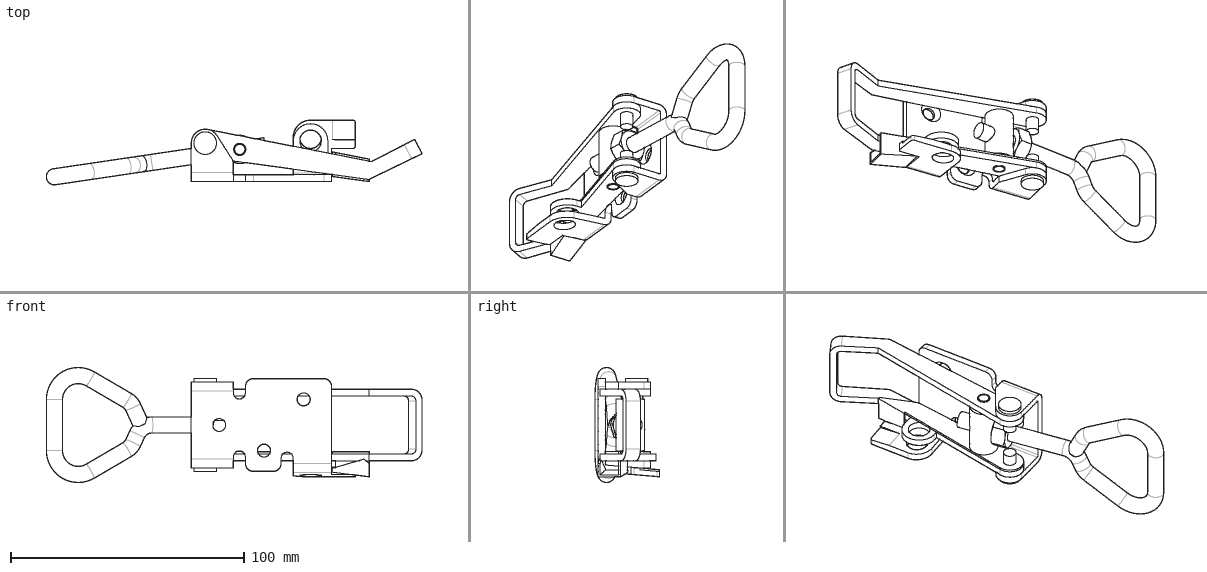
import cadquery as cq
import math


PIVOT_RADIUS = 6.0
RIVET_RADIUS = 2.7
TRUNNION_X = 14.8
TRUNNION_Y = -2.7
JOURNAL_RADIUS = 2.6
ROD_RADIUS = 3.5
ROD_TILT = 8.4
TALL = 200.0

BASE_SHEET = 3.1
BASE_BEND_RADIUS = 3.9
BASE_BACK = -16.55
BASE_INNER_HALF = 15.35
BASE_OUTER_HALF = BASE_INNER_HALF + BASE_SHEET
BASE_LEFT = -PIVOT_RADIUS
BASE_RIGHT = 54.2
FLANGE_RIGHT = 12.1
FLANGE_CORNER_Y = -7.8

NOTCH_RADIUS = 2.55
FIRST_NOTCH_Z = 13.75
SECOND_NOTCH_Z = 14.2
WING_LEFT = FLANGE_RIGHT + 2 * NOTCH_RADIUS
WING_HALF = 19.9
WING_CORNER_RADIUS = 3.4
TAB_RIGHT = 32.55
EAR_FLANGE_LEFT = TAB_RIGHT + 2 * NOTCH_RADIUS
EAR_BEND_Z = -16.4
MOUNT_HOLE_RADIUS = 2.75
MOUNT_HOLE_LAND = 1.2
MOUNT_HOLES = [(6.0, 0.0), (42.2, 11.0), (25.2, -11.0)]

EAR_HOLE_RADIUS = 4.6
BASE_EAR_RADIUS = 7.5
BASE_EAR_X = EAR_FLANGE_LEFT + BASE_EAR_RADIUS
BASE_EAR_Y = 2.37
BASE_EAR_LEAN = 4.9
TONGUE_RIGHT = 64.4
TONGUE_BOTTOM = -2.4
TONGUE_CORNER_RADIUS = 1.2
RAMP_LEFT = 54.6
RAMP_BOTTOM = 1.5
RAMP_DROP = 0.8
LEVER_EAR_RADIUS = 7.4
LEVER_EAR_Y = 0.9

LEVER_SHEET = 3.0
LEVER_OUTER_HALF = BASE_INNER_HALF
LEVER_INNER_HALF = LEVER_OUTER_HALF - LEVER_SHEET
LEVER_TOP_BEND = (71.2, -7.9)
LEVER_BOTTOM_BEND = (70.2, -15.6)
TAIL_ANGLE = 27.6
TAIL_END_BOTTOM = (93.0, -4.55)
TAIL_WIDTH = 7.0
TAIL_BEND_RADIUS = 5.0

CATCH_SHEET = 0.9
CATCH_RIGHT = 70.35
CATCH_TOP_LEFT = 55.8
CATCH_LEAF_LEFT = 54.5
CATCH_WEB_LEFT = 54.4
CATCH_WEB_Z_LEFT = -20.2
CATCH_WEB_Z_RIGHT = -22.25
CATCH_FLAP_Z_LEFT = -18.6
CATCH_FLAP_PEAK = (68.0, -14.6)
CATCH_FLAP_Z_RIGHT = -16.5

RIVET_HEAD_RADIUS = 4.85
RIVET_HEAD_HEIGHT = 1.5
RIVET_INNER_END = 6.5
TRUNNION_RADIUS = 6.1
TRUNNION_HALF = 11.1
JOURNAL_CHAMFER = 0.4
NUT_WIDTH = 13.0
NUT_HEIGHT = 6.5
NUT_CHAMFER_ANGLE = 30.0
NUT_TURN = 15.0

ROD_END = 11.0
NECK_U = 38.15
NECK_BEND_RADIUS = 7.0
NECK_ANGLE = 65.0
NECK_RUN = 4.04
SHOULDER_BEND_RADIUS = 6.5
SIDE_ANGLE = 30.0
LOOP_HALF_HEIGHT = 24.685
LOOP_CORNER_RADIUS = 10.3


def polar(radius, degrees):
    angle = math.radians(degrees)
    return (radius * math.cos(angle), radius * math.sin(angle))


def cylinder_z(x, y, radius, z_low, z_high):
    return cq.Workplane("XY", origin=(x, y, z_low)).circle(radius).extrude(z_high - z_low)


def prism_z(points, z_low, z_high):
    return cq.Workplane("XY", origin=(0, 0, z_low)).polyline(points).close().extrude(z_high - z_low)


def prism_y(points):
    return cq.Workplane("XZ").polyline(points).close().extrude(TALL / 2, both=True)


def tangent_angle(point, side):
    """Polar angle of the pivot-circle point whose tangent runs to `point`; side +1 is above, -1 below."""
    distance = math.hypot(*point)
    bearing = math.degrees(math.atan2(point[1], point[0]))
    return bearing + side * math.degrees(math.acos(PIVOT_RADIUS / distance))


TOP_TANGENT = polar(PIVOT_RADIUS, tangent_angle(LEVER_TOP_BEND, 1))
BOTTOM_TANGENT = polar(PIVOT_RADIUS, tangent_angle(LEVER_BOTTOM_BEND, -1))


def line_y(start, end, x):
    return start[1] + (end[1] - start[1]) * (x - start[0]) / (end[0] - start[0])


def lever_top_y(x):
    return line_y(TOP_TANGENT, LEVER_TOP_BEND, x)


def lever_bottom_y(x):
    return line_y(BOTTOM_TANGENT, LEVER_BOTTOM_BEND, x)


def base_plate():
    plate = (
        cq.Workplane("XZ", origin=(0, BASE_BACK, 0))
        .polyline([
            (WING_LEFT, WING_HALF),
            (BASE_RIGHT, WING_HALF),
            (BASE_RIGHT, EAR_BEND_Z),
            (TAB_RIGHT, EAR_BEND_Z),
            (TAB_RIGHT, -WING_HALF),
            (WING_LEFT, -WING_HALF),
        ])
        .close()
        .extrude(-BASE_SHEET)
    )
    outer_corners = [
        (WING_LEFT, WING_HALF),
        (BASE_RIGHT, WING_HALF),
        (TAB_RIGHT, -WING_HALF),
        (WING_LEFT, -WING_HALF),
    ]
    middle_y = BASE_BACK + BASE_SHEET / 2
    for x, z in outer_corners:
        corner = plate.edges(cq.selectors.NearestToPointSelector((x, middle_y, z)))
        plate = corner.fillet(WING_CORNER_RADIUS)
    bridge_half = BASE_OUTER_HALF - BASE_BEND_RADIUS
    bridge = cq.Workplane("XY").box(
        WING_LEFT - BASE_LEFT, BASE_SHEET, 2 * bridge_half, centered=(False, False, True)
    )
    return plate.union(bridge.translate((BASE_LEFT, BASE_BACK, 0)))


def base_flanges():
    channel = (
        cq.Workplane("YZ", origin=(BASE_LEFT, 0, 0))
        .rect(2 * abs(BASE_BACK), 2 * BASE_OUTER_HALF)
        .extrude(FLANGE_RIGHT - BASE_LEFT)
        .edges("|X and <Y")
        .fillet(BASE_BEND_RADIUS)
    )
    hollow = (
        cq.Workplane("YZ", origin=(BASE_LEFT, BASE_BACK + BASE_SHEET + TALL / 2, 0))
        .rect(TALL, 2 * BASE_INNER_HALF)
        .extrude(FLANGE_RIGHT - BASE_LEFT)
        .edges("|X and <Y")
        .fillet(BASE_BEND_RADIUS - BASE_SHEET)
    )
    slope_start = polar(PIVOT_RADIUS, tangent_angle((FLANGE_RIGHT, FLANGE_CORNER_Y), 1))
    outline = (
        cq.Workplane("XY", origin=(0, 0, -TALL / 2))
        .moveTo(BASE_LEFT, BASE_BACK)
        .lineTo(BASE_LEFT, 0)
        .threePointArc(polar(PIVOT_RADIUS, 120), slope_start)
        .lineTo(FLANGE_RIGHT, FLANGE_CORNER_Y)
        .lineTo(FLANGE_RIGHT, BASE_BACK)
        .close()
        .extrude(TALL)
    )
    return channel.cut(hollow).intersect(outline)


def base_ear():
    """Leaning padlock ear with a ramped tongue, bent up from the lower edge of the plate."""
    inner_radius = BASE_BEND_RADIUS - BASE_SHEET
    bend_y = BASE_BACK + BASE_BEND_RADIUS
    leg_length = 30.0
    along_y, along_z = polar(leg_length, -BASE_EAR_LEAN)

    def on_bend(radius, degrees):
        dy, dz = polar(radius, degrees)
        return (bend_y + dy, EAR_BEND_Z + dz)

    bend_end = 270 - BASE_EAR_LEAN
    bend_middle = (180 + bend_end) / 2
    outer_end = on_bend(BASE_BEND_RADIUS, bend_end)
    inner_end = on_bend(inner_radius, bend_end)
    strip = (
        cq.Workplane("YZ", origin=(EAR_FLANGE_LEFT, 0, 0))
        .moveTo(*on_bend(BASE_BEND_RADIUS, 180))
        .threePointArc(on_bend(BASE_BEND_RADIUS, bend_middle), outer_end)
        .lineTo(outer_end[0] + along_y, outer_end[1] + along_z)
        .lineTo(inner_end[0] + along_y, inner_end[1] + along_z)
        .lineTo(*inner_end)
        .threePointArc(on_bend(inner_radius, bend_middle), on_bend(inner_radius, 180))
        .close()
        .extrude(TONGUE_RIGHT - EAR_FLANGE_LEFT)
    )
    ear_top = BASE_EAR_Y + BASE_EAR_RADIUS
    arc_x, arc_y = polar(BASE_EAR_RADIUS, 135)
    outline = (
        cq.Workplane("XY", origin=(0, 0, -TALL / 2))
        .moveTo(EAR_FLANGE_LEFT, BASE_BACK)
        .lineTo(EAR_FLANGE_LEFT, BASE_EAR_Y)
        .threePointArc((BASE_EAR_X + arc_x, BASE_EAR_Y + arc_y), (BASE_EAR_X, ear_top))
        .lineTo(TONGUE_RIGHT, ear_top)
        .lineTo(TONGUE_RIGHT, TONGUE_BOTTOM)
        .lineTo(BASE_RIGHT, TONGUE_BOTTOM)
        .lineTo(BASE_RIGHT, BASE_BACK)
        .close()
        .extrude(TALL)
        .edges("|Z and >X")
        .fillet(TONGUE_CORNER_RADIUS)
    )
    hole = cylinder_z(BASE_EAR_X, BASE_EAR_Y, EAR_HOLE_RADIUS, -TALL / 2, 0)

    ramp = (
        cq.Workplane("XZ")
        .polyline([
            (RAMP_LEFT, 0),
            (TONGUE_RIGHT, -RAMP_DROP),
            (TONGUE_RIGHT, BASE_SHEET),
            (RAMP_LEFT, BASE_SHEET),
        ])
        .close()
        .extrude(-leg_length)
        .translate((0, RAMP_BOTTOM - inner_end[0], 0))
        .rotate((0, 0, 0), (1, 0, 0), -BASE_EAR_LEAN)
        .translate((0, inner_end[0], inner_end[1]))
    )
    return strip.intersect(outline).cut(hole).cut(ramp)


def notch_cutter(x, depth_z, side):
    round_end = cq.Workplane("XZ").center(x, side * depth_z).circle(NOTCH_RADIUS)
    cutter = round_end.extrude(TALL / 2)
    slot = cq.Workplane("XY").box(2 * NOTCH_RADIUS, TALL / 2, TALL, centered=(True, False, False))
    slot = slot.translate((x, -TALL / 2, 0))
    if side < 0:
        slot = slot.mirror("XY")
    return cutter.union(slot.translate((0, 0, side * depth_z)))


def mount_hole_cutter(x, z):
    """Hole with a 90 degree countersink that opens to the inner face of the plate."""
    wide_radius = MOUNT_HOLE_RADIUS + BASE_SHEET - MOUNT_HOLE_LAND
    half_section = [
        (0, 0),
        (MOUNT_HOLE_RADIUS, 0),
        (MOUNT_HOLE_RADIUS, MOUNT_HOLE_LAND),
        (wide_radius, BASE_SHEET),
        (0, BASE_SHEET),
    ]
    cutter = cq.Workplane("XY").polyline(half_section).close().revolve(360, (0, 0, 0), (0, 1, 0))
    return cutter.translate((x, BASE_BACK, z))


def build_base():
    base = base_plate().union(base_flanges()).union(base_ear())
    first_notch_x = FLANGE_RIGHT + NOTCH_RADIUS
    second_notch_x = TAB_RIGHT + NOTCH_RADIUS
    notches = [
        (first_notch_x, FIRST_NOTCH_Z, 1),
        (first_notch_x, FIRST_NOTCH_Z, -1),
        (second_notch_x, SECOND_NOTCH_Z, -1),
    ]
    for x, depth_z, side in notches:
        base = base.cut(notch_cutter(x, depth_z, side))
    for x, z in MOUNT_HOLES:
        base = base.cut(mount_hole_cutter(x, z))
    return base.cut(cylinder_z(0, 0, RIVET_RADIUS, -TALL / 2, TALL / 2))


def arm_profile(z_low, z_high, end_points):
    """Rounded, tapering arm around the pivot, closed by `end_points` listed from top to bottom."""
    return (
        cq.Workplane("XY", origin=(0, 0, z_low))
        .moveTo(*BOTTOM_TANGENT)
        .threePointArc((-PIVOT_RADIUS, 0), TOP_TANGENT)
        .polyline(end_points, includeCurrent=True)
        .close()
        .extrude(z_high - z_low)
    )


def build_lever():
    across_x, across_y = polar(TAIL_WIDTH, TAIL_ANGLE + 90)
    tail_end_top = (TAIL_END_BOTTOM[0] + across_x, TAIL_END_BOTTOM[1] + across_y)
    outline = [LEVER_TOP_BEND, tail_end_top, TAIL_END_BOTTOM, LEVER_BOTTOM_BEND]
    lever = arm_profile(-LEVER_OUTER_HALF, LEVER_OUTER_HALF, outline)
    end_middle_x = (TAIL_END_BOTTOM[0] + tail_end_top[0]) / 2
    end_middle_y = (TAIL_END_BOTTOM[1] + tail_end_top[1]) / 2
    for z in (-LEVER_OUTER_HALF, LEVER_OUTER_HALF):
        corner = lever.edges(cq.selectors.NearestToPointSelector((end_middle_x, end_middle_y, z)))
        lever = corner.fillet(TAIL_BEND_RADIUS)

    space = (
        cq.Workplane("XY")
        .box(TALL, TALL, 2 * LEVER_INNER_HALF)
        .edges("|Y and >X")
        .fillet(TAIL_BEND_RADIUS - LEVER_SHEET)
        .translate((-TALL / 2 - LEVER_SHEET, 0, 0))
        .rotate((0, 0, 0), (0, 0, 1), TAIL_ANGLE)
        .translate((*TAIL_END_BOTTOM, 0))
    )
    lever = lever.cut(space)

    ear = cylinder_z(BASE_EAR_X, LEVER_EAR_Y, LEVER_EAR_RADIUS, -LEVER_OUTER_HALF, -LEVER_INNER_HALF)
    ear_left = BASE_EAR_X - LEVER_EAR_RADIUS
    ear_right = BASE_EAR_X + LEVER_EAR_RADIUS
    ear_root = [
        (ear_left, LEVER_EAR_Y),
        (ear_right, LEVER_EAR_Y),
        (ear_right, lever_bottom_y(ear_left)),
        (ear_left, lever_bottom_y(ear_left)),
    ]
    lever = lever.union(ear).union(prism_z(ear_root, -LEVER_OUTER_HALF, -LEVER_INNER_HALF))
    lever = lever.cut(cylinder_z(BASE_EAR_X, LEVER_EAR_Y, EAR_HOLE_RADIUS, -TALL / 2, 0))
    lever = lever.cut(cylinder_z(0, 0, RIVET_RADIUS, -TALL / 2, TALL / 2))
    return lever.cut(cylinder_z(TRUNNION_X, TRUNNION_Y, JOURNAL_RADIUS, -TALL / 2, TALL / 2))


def edge_strip(edge_y, offset, left):
    """Sheet lying along one edge of the lower arm, extruded over all Z."""
    points = [
        (left, edge_y(left)),
        (CATCH_RIGHT, edge_y(CATCH_RIGHT)),
        (CATCH_RIGHT, edge_y(CATCH_RIGHT) + offset),
        (left, edge_y(left) + offset),
    ]
    return prism_z(points, -TALL / 2, TALL / 2)


def build_catch():
    """Spring leaf on the inside of the lower arm that wraps around the arm at its free end."""
    leaf_z = -LEVER_INNER_HALF + CATCH_SHEET
    leaf_end = [
        (CATCH_RIGHT, lever_top_y(CATCH_RIGHT)),
        (CATCH_LEAF_LEFT, lever_bottom_y(CATCH_LEAF_LEFT)),
    ]
    leaf = arm_profile(-LEVER_INNER_HALF, leaf_z, leaf_end)
    leaf = leaf.cut(cylinder_z(0, 0, RIVET_RADIUS, -TALL / 2, 0))
    leaf = leaf.cut(cylinder_z(TRUNNION_X, TRUNNION_Y, JOURNAL_RADIUS, -TALL / 2, 0))

    web_outer_left = (CATCH_WEB_LEFT, CATCH_WEB_Z_LEFT)
    web_outer_right = (CATCH_RIGHT, CATCH_WEB_Z_RIGHT)
    top_corner = (CATCH_TOP_LEFT, line_y(web_outer_left, web_outer_right, CATCH_TOP_LEFT))
    top_flap = edge_strip(lever_top_y, CATCH_SHEET, CATCH_TOP_LEFT).intersect(
        prism_y([(CATCH_TOP_LEFT, leaf_z), (CATCH_RIGHT, leaf_z), web_outer_right, top_corner])
    )
    bottom_flap = edge_strip(lever_bottom_y, -CATCH_SHEET, CATCH_WEB_LEFT).intersect(
        prism_y([
            (CATCH_WEB_LEFT, CATCH_FLAP_Z_LEFT),
            CATCH_FLAP_PEAK,
            (CATCH_RIGHT, CATCH_FLAP_Z_RIGHT),
            web_outer_right,
            web_outer_left,
        ])
    )
    web_sides = prism_z(
        [
            (CATCH_WEB_LEFT, lever_top_y(CATCH_WEB_LEFT) + CATCH_SHEET),
            (CATCH_RIGHT, lever_top_y(CATCH_RIGHT) + CATCH_SHEET),
            (CATCH_RIGHT, lever_bottom_y(CATCH_RIGHT) - CATCH_SHEET),
            (CATCH_WEB_LEFT, lever_bottom_y(CATCH_WEB_LEFT) - CATCH_SHEET),
        ],
        -TALL / 2,
        0,
    )
    web = web_sides.intersect(
        prism_y([
            web_outer_left,
            web_outer_right,
            (CATCH_RIGHT, CATCH_WEB_Z_RIGHT + CATCH_SHEET),
            (CATCH_WEB_LEFT, CATCH_WEB_Z_LEFT + CATCH_SHEET),
        ])
    )
    return leaf.union(top_flap).union(web).union(bottom_flap)


def build_rivet(side):
    shank = cylinder_z(0, 0, RIVET_RADIUS, RIVET_INNER_END, BASE_OUTER_HALF)
    head = cylinder_z(0, 0, RIVET_HEAD_RADIUS, BASE_OUTER_HALF, BASE_OUTER_HALF + RIVET_HEAD_HEIGHT)
    rivet = shank.union(head)
    if side < 0:
        rivet = rivet.mirror("XY")
    return rivet


ROD_X, ROD_Y = polar(1, ROD_TILT)
ROD_FRAME = cq.Plane(origin=(TRUNNION_X, TRUNNION_Y, 0), xDir=(ROD_X, ROD_Y, 0), normal=(ROD_Y, -ROD_X, 0))


def across_rod(u):
    """Plane square to the rod at distance u along it."""
    origin = ROD_FRAME.toWorldCoords((u, 0, 0))
    return cq.Workplane(cq.Plane(origin=origin, xDir=(0, 0, 1), normal=(ROD_X, ROD_Y, 0)))


def build_trunnion():
    body = cylinder_z(TRUNNION_X, TRUNNION_Y, TRUNNION_RADIUS, -TRUNNION_HALF, TRUNNION_HALF)
    journal = cylinder_z(TRUNNION_X, TRUNNION_Y, JOURNAL_RADIUS, -LEVER_OUTER_HALF, LEVER_OUTER_HALF)
    journal = journal.faces("<Z or >Z").chamfer(JOURNAL_CHAMFER)
    bore = across_rod(-TRUNNION_RADIUS).circle(ROD_RADIUS).extrude(2 * TRUNNION_RADIUS)
    return body.union(journal).cut(bore)


def build_nut():
    corner_radius = NUT_WIDTH / math.sqrt(3)
    chamfer_height = (corner_radius - NUT_WIDTH / 2) * math.tan(math.radians(NUT_CHAMFER_ANGLE))
    start = -TRUNNION_RADIUS - NUT_HEIGHT
    hexagon = (
        across_rod(start)
        .transformed(rotate=(0, 0, NUT_TURN))
        .polygon(6, 2 * corner_radius)
        .extrude(NUT_HEIGHT)
    )
    chamfered_bar = (
        across_rod(start)
        .circle(corner_radius)
        .extrude(NUT_HEIGHT)
        .faces(cq.selectors.ParallelDirSelector(cq.Vector(ROD_X, ROD_Y, 0)))
        .chamfer(chamfer_height, corner_radius - NUT_WIDTH / 2)
    )
    bore = across_rod(start).circle(ROD_RADIUS).extrude(NUT_HEIGHT)
    return hexagon.intersect(chamfered_bar).cut(bore)


def build_hook():
    """One bent bar: rod, neck and closed loop, traced from the free rod end."""
    pen = {"at": (ROD_END, 0.0), "heading": 180.0}
    path = cq.Workplane(ROD_FRAME).moveTo(*pen["at"])

    def advance(point, distance, heading):
        dx, dy = polar(distance, heading)
        return (point[0] + dx, point[1] + dy)

    def run(path, length):
        pen["at"] = advance(pen["at"], length, pen["heading"])
        return path.lineTo(*pen["at"])

    def bend(path, radius, turn):
        side = math.copysign(90, turn)
        centre = advance(pen["at"], radius, pen["heading"] + side)
        middle = advance(centre, radius, pen["heading"] - side + turn / 2)
        pen["heading"] += turn
        pen["at"] = advance(centre, radius, pen["heading"] - side)
        return path.threePointArc(middle, pen["at"])

    shoulder_turn = NECK_ANGLE - SIDE_ANGLE
    corner_turn = 90 + SIDE_ANGLE
    corner_z = LOOP_HALF_HEIGHT - ROD_RADIUS - LOOP_CORNER_RADIUS

    path = run(path, ROD_END + NECK_U)
    path = bend(path, NECK_BEND_RADIUS, NECK_ANGLE)
    path = run(path, NECK_RUN)
    path = bend(path, SHOULDER_BEND_RADIUS, -shoulder_turn)
    shoulder_z = -pen["at"][1]
    side_end_z = corner_z + polar(LOOP_CORNER_RADIUS, SIDE_ANGLE)[0]
    side_run = (side_end_z - shoulder_z) / math.sin(math.radians(SIDE_ANGLE))
    path = run(path, side_run)
    path = bend(path, LOOP_CORNER_RADIUS, -corner_turn)
    path = run(path, 2 * corner_z)
    path = bend(path, LOOP_CORNER_RADIUS, -corner_turn)
    path = run(path, side_run)
    path = bend(path, SHOULDER_BEND_RADIUS, -shoulder_turn)
    main_bar = across_rod(ROD_END).circle(ROD_RADIUS).sweep(path)

    start = ROD_FRAME.toWorldCoords((*pen["at"], 0))
    dx, dy = polar(1, pen["heading"])
    direction = ROD_FRAME.toWorldCoords((dx, dy, 0)) - ROD_FRAME.origin
    leg_plane = cq.Plane(origin=start, xDir=(ROD_Y, -ROD_X, 0), normal=direction)
    leg = cq.Workplane(leg_plane).circle(ROD_RADIUS).extrude(pen["at"][1] / -dy)
    return main_bar.union(leg)


base = build_base()
lever = build_lever()
catch = build_catch()
trunnion = build_trunnion()
nut = build_nut()
hook = build_hook()
rivets = [build_rivet(side) for side in (1, -1)]

bodies = [base, lever, catch, trunnion, nut, hook, *rivets]
result = cq.Compound.makeCompound([body.solids().val() for body in bodies])